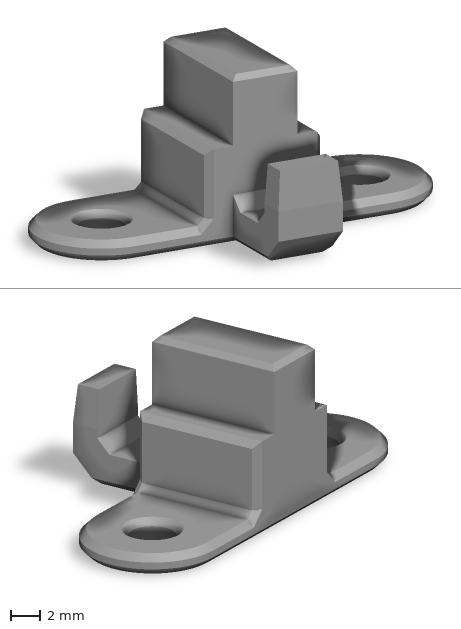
import cadquery as cq

plate_width = 10.0
plate_length = 30.0
plate_thickness = 1.5
edge_chamfer = 0.5
hole_spacing = plate_length - plate_width
hole_diameter = 3.3
countersink_diameter = 4.3
countersink_angle = 90

block_depth = 9.0
block_top = 7.0
key_depth = 5.0
key_top = 12.0
key_chamfer = 0.4

hook_width = key_depth
hook_reach = 6.5
hook_top = block_top
hook_floor = 2.5
hook_inner_chamfer = 1.0
hook_outer_chamfer = 2.0
hook_tip_thickness = 2.0
hook_taper_start = 4.15
hook_taper = 0.25

half_plate = plate_width / 2
half_block = block_depth / 2


def make_plate():
    """Rounded strip with every outer edge chamfered, top and bottom."""
    return (
        cq.Workplane("XY")
        .slot2D(plate_length, plate_width, angle=90)
        .extrude(plate_thickness)
        .faces("<Z or >Z")
        .edges()
        .chamfer(edge_chamfer)
    )


def mirrored_outline(x, points):
    """Closed YZ wire at x, from the +Y half of a symmetric outline (bottom to top)."""
    left = [(-y, z) for y, z in reversed(points)]
    return cq.Workplane("YZ", origin=(x, 0, 0)).polyline(points + left).close()


def make_block():
    """Lower block: chamfered on its Y-side edges and blended into the plate by a 45 degree strip."""
    c = edge_chamfer
    foot = half_block + c
    end_outline = [
        (foot, c),
        (foot, plate_thickness - c),
        (half_block - c, plate_thickness + c),
        (half_block - c, block_top),
    ]
    middle_outline = [
        (foot, c),
        (foot, plate_thickness),
        (half_block, plate_thickness + c),
        (half_block, block_top),
    ]
    stations = [
        (-half_plate, end_outline),
        (c - half_plate, middle_outline),
        (half_plate - c, middle_outline),
        (half_plate, end_outline),
    ]
    wires = [mirrored_outline(x, outline).wires().val() for x, outline in stations]
    block = cq.Workplane(cq.Solid.makeLoft(wires, True))
    envelope_outline = [
        (foot, 0),
        (foot, plate_thickness + c),
        (half_block, plate_thickness + c),
        (half_block, block_top - c),
        (half_block - c, block_top),
    ]
    envelope = mirrored_outline(-half_plate, envelope_outline).extrude(plate_width)
    return block.intersect(envelope)


def make_key():
    """Upper block, narrower in Y, with its top rim chamfered on all four sides."""
    return (
        cq.Workplane("XY", origin=(0, 0, edge_chamfer))
        .rect(plate_width, key_depth)
        .extrude(key_top - edge_chamfer)
        .faces(">Z")
        .chamfer(key_chamfer)
    )


def make_hook():
    """J-shaped arm with chamfered bottom edges and a tapered tip, rooted at the block's middle (x = 0)."""
    outer_x = half_plate + hook_reach
    inner_x = outer_x - hook_tip_thickness
    inner_z = hook_floor + hook_inner_chamfer
    arm = (
        cq.Workplane("XZ", origin=(0, hook_width / 2, 0))
        .moveTo(0, 0)
        .lineTo(outer_x - hook_outer_chamfer, 0)
        .lineTo(outer_x, hook_outer_chamfer)
        .lineTo(outer_x, hook_taper_start)
        .lineTo(inner_x, hook_taper_start)
        .lineTo(inner_x, inner_z)
        .lineTo(inner_x - hook_inner_chamfer, hook_floor)
        .lineTo(half_plate + hook_inner_chamfer, hook_floor)
        .lineTo(half_plate, inner_z)
        .lineTo(0, inner_z)
        .close()
        .extrude(hook_width)
        .faces("<Z")
        .edges("|X")
        .chamfer(edge_chamfer)
    )
    tip_end_thickness = hook_tip_thickness - hook_taper
    tip = (
        cq.Workplane("XY", origin=(inner_x, 0, hook_taper_start))
        .center(hook_tip_thickness / 2, 0)
        .rect(hook_tip_thickness, hook_width)
        .workplane(offset=hook_top - hook_taper_start)
        .center(-hook_taper / 2, 0)
        .rect(tip_end_thickness, hook_width - 2 * hook_taper)
        .loft(ruled=True)
    )
    return arm.union(tip)


def cut_screw_holes(body):
    """Two countersunk through holes, one in each rounded end."""
    return (
        body.copyWorkplane(cq.Workplane("XY", origin=(0, 0, plate_thickness)))
        .pushPoints([(0, -hole_spacing / 2), (0, hole_spacing / 2)])
        .cskHole(hole_diameter, countersink_diameter, countersink_angle)
    )


body = make_plate().union(make_block()).union(make_key()).union(make_hook())
result = cut_screw_holes(body)